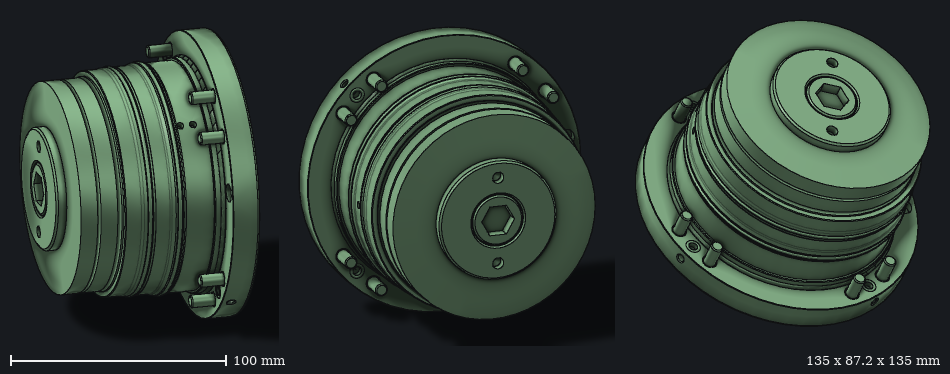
import cadquery as cq
import math


flange_radius = 67.5
flange_thickness = 13.0
flange_back_edge_length = 1.0
flange_back_edge_inset = 0.4
flange_front_chamfer = 0.3

seal_cord_radius = 1.6
seal_centre_radius = 54.4
seal_centre_depth = 13.2
collar_start = 15.1
collar_end = 18.1
collar_radius = 55.2
collar_edge = 0.4

barrel_radius = 53.9
rear_land_radius = 54.4
rear_land_start = 31.6
rear_land_end = 36.7
rear_land_edge_length = 0.8
rear_taper_end = 38.5
rear_taper_radius = 53.7
mid_land_radius = 53.5
mid_land_start = 39.4
mid_land_end = 51.8
front_barrel_radius = 53.0
front_barrel_start = 53.2
front_barrel_end = 60.9
front_barrel_chamfer = 0.4

rear_groove_depth = 34.4
front_groove_depth = 48.6
groove_floor_step = 0.7
groove_half_width = 1.4
cord_half_width = 1.0
cord_proud = 0.5
mid_land_relief_start = 46.2
mid_land_relief = 0.3

disc_radius = 50.0
shoulder_radius = 50.4
shoulder_end = 61.8
disc_thickness = 8.1
rear_disc_start = 63.7
front_disc_start = 73.5
gap_root_radius = 27.0
front_cone_height = 0.7
cap_radius = 28.9
overall_length = 87.2
cap_chamfer = 1.0

screw_bore_radius = 12.7
screw_bore_chamfer = 0.8
screw_head_radius = 12.3
screw_head_chamfer = 0.8
screw_gap_depth = 2.0
hex_across_flats = 14.0
hex_depth = 5.5

wrench_hole_radius = 2.7
wrench_hole_depth = 4.0
wrench_hole_offset = 20.9
drill_point_angle = 118.0

pitch_radius = 60.9
screw_radius = 3.0
screw_end_depth = 24.2
screw_end_chamfer = 0.5
screw_spread_angle = 10.0
screw_clearance_radius = 3.5
screw_clearance_depth = 0.5

port_angles = [135, 225, 315]
port_hole_radius = 2.0
port_hole_depth = 2.7
port_ring_radius = 2.8
port_cord_radius = 0.8
port_ring_proud = 0.4
radial_port_depth = 8.1
radial_port_radius = 1.8
radial_port_chamfer = 0.5
radial_port_length = 6.8

dowel_angle = 10.0
dowel_radius = 4.2
dowel_hole_depth = 4.0

cross_hole_radius = 1.6
cross_hole_length = 4.0
cross_holes = [(45, 23.8), (45, 30.0), (180, 43.9)]

cutter_overrun = 1.4


def on_pitch_circle(angle):
    """X and Z of a point on the flange pitch circle."""
    a = math.radians(angle)
    return pitch_radius * math.cos(a), pitch_radius * math.sin(a)


def axial_cylinder(x, z, radius, start, end):
    """Cylinder parallel to the axis between two depths."""
    return cq.Workplane(cq.Solid.makeCylinder(
        radius, end - start, cq.Vector(x, -start, z), cq.Vector(0, -1, 0)))


def radial_cylinder(angle, depth, radius, outer_radius, length, bevel=0.0):
    """Cutter pointing at the axis; its mouth at outer_radius is widened by the bevel."""
    a = math.radians(angle)
    outward = cq.Vector(math.cos(a), 0, math.sin(a))
    floor = outward * (outer_radius - length) + cq.Vector(0, -depth, 0)
    cutter = cq.Workplane(cq.Solid.makeCylinder(radius, length + cutter_overrun, floor, outward))
    if bevel > 0:
        mouth = floor + outward * (length - bevel)
        cone = cq.Solid.makeCone(radius, radius + 2 * bevel, 2 * bevel, mouth, outward)
        cutter = cutter.union(cq.Workplane(cone))
    return cutter


def groove_with_cord(sketch, depth, land_radius):
    """Add an O-ring groove, with the cord standing slightly proud, to the barrel outline."""
    floor_radius = land_radius - groove_floor_step
    return (
        sketch.lineTo(land_radius, -(depth - groove_half_width))
        .lineTo(floor_radius, -(depth - groove_half_width))
        .lineTo(floor_radius, -(depth - cord_half_width))
        .threePointArc((land_radius + cord_proud, -depth), (floor_radius, -(depth + cord_half_width)))
        .lineTo(floor_radius, -(depth + groove_half_width))
        .lineTo(land_radius, -(depth + groove_half_width))
    )


def disc_outline(sketch, previous_end, start):
    """Add the V-shaped gap behind a disc, then the disc rim, to the outline."""
    gap_root_depth = (previous_end + start) / 2
    return (
        sketch.lineTo(gap_root_radius, -gap_root_depth)
        .lineTo(disc_radius, -start)
        .lineTo(disc_radius, -(start + disc_thickness))
    )


def turned_body():
    """Flange, barrel, discs and nose cap revolved in one piece."""
    outline = (
        cq.Workplane("XY").moveTo(0, 0)
        .lineTo(flange_radius - flange_back_edge_inset, 0)
        .lineTo(flange_radius, -flange_back_edge_length)
        .lineTo(flange_radius, -(flange_thickness - flange_front_chamfer))
        .lineTo(flange_radius - flange_front_chamfer, -flange_thickness)
        .lineTo(barrel_radius, -flange_thickness)
        .lineTo(barrel_radius, -collar_start)
        .lineTo(collar_radius, -collar_start)
        .lineTo(collar_radius, -(collar_end - collar_edge))
        .lineTo(collar_radius - collar_edge, -collar_end)
        .lineTo(barrel_radius, -collar_end)
        .lineTo(barrel_radius, -rear_land_start)
        .lineTo(rear_land_radius, -(rear_land_start + rear_land_edge_length))
    )
    outline = groove_with_cord(outline, rear_groove_depth, rear_land_radius)
    outline = (
        outline.lineTo(rear_land_radius, -rear_land_end)
        .lineTo(rear_taper_radius, -rear_taper_end)
        .lineTo(mid_land_radius, -mid_land_start)
        .lineTo(mid_land_radius, -mid_land_relief_start)
        .lineTo(mid_land_radius - mid_land_relief, -mid_land_relief_start)
        .lineTo(mid_land_radius - mid_land_relief, -(front_groove_depth - groove_half_width))
    )
    outline = groove_with_cord(outline, front_groove_depth, mid_land_radius)
    outline = (
        outline.lineTo(mid_land_radius, -mid_land_end)
        .lineTo(front_barrel_radius, -front_barrel_start)
        .lineTo(front_barrel_radius, -(front_barrel_end - front_barrel_chamfer))
        .lineTo(front_barrel_radius - front_barrel_chamfer, -front_barrel_end)
        .lineTo(shoulder_radius, -front_barrel_end)
        .lineTo(shoulder_radius, -shoulder_end)
    )
    outline = disc_outline(outline, shoulder_end, rear_disc_start)
    outline = disc_outline(outline, rear_disc_start + disc_thickness, front_disc_start)
    outline = (
        outline.lineTo(cap_radius, -(front_disc_start + disc_thickness + front_cone_height))
        .lineTo(cap_radius, -(overall_length - cap_chamfer))
        .lineTo(cap_radius - cap_chamfer, -overall_length)
        .lineTo(0, -overall_length)
        .close()
    )
    return outline.revolve(360, (0, 0, 0), (0, 1, 0))


def ring_cord(centre, ring_radius, cord_radius):
    """O-ring cord as a torus around a line parallel to the axis."""
    torus = cq.Solid.makeTorus(ring_radius, cord_radius, cq.Vector(*centre), cq.Vector(0, -1, 0))
    return cq.Workplane(torus)


def centre_screw_gap():
    """Ring-shaped gap between the chamfered cap bore and the chamfered screw head."""
    floor = -(overall_length - screw_gap_depth)
    section = (
        cq.Workplane("XY").moveTo(screw_head_radius, floor)
        .lineTo(screw_bore_radius, floor)
        .lineTo(screw_bore_radius, -(overall_length - screw_bore_chamfer))
        .lineTo(screw_bore_radius + screw_bore_chamfer, -overall_length)
        .lineTo(screw_head_radius - screw_head_chamfer, -overall_length)
        .lineTo(screw_head_radius, -(overall_length - screw_head_chamfer))
        .close()
    )
    return section.revolve(360, (0, 0, 0), (0, 1, 0))


def hex_socket():
    """Hexagon socket with two corners along X."""
    across_corners = hex_across_flats / math.cos(math.pi / 6)
    return (
        cq.Workplane("XZ", origin=(0, -overall_length, 0))
        .polygon(6, across_corners)
        .extrude(-hex_depth)
    )


def wrench_hole(z):
    """Blind hole with a drill point."""
    floor = overall_length - wrench_hole_depth
    point_height = wrench_hole_radius / math.tan(math.radians(drill_point_angle / 2))
    point = cq.Solid.makeCone(
        wrench_hole_radius, 0, point_height, cq.Vector(0, -floor, z), cq.Vector(0, 1, 0))
    return axial_cylinder(0, z, wrench_hole_radius, floor, overall_length).union(cq.Workplane(point))


def flange_screw(x, z):
    """Screw end standing out of the flange, rooted below the floor of its recess."""
    root = flange_thickness - 2 * screw_clearance_depth
    screw = axial_cylinder(x, z, screw_radius, root, screw_end_depth)
    return screw.faces("<Y").chamfer(screw_end_chamfer)


part = turned_body()
part = part.union(ring_cord((0, -seal_centre_depth, 0), seal_centre_radius, seal_cord_radius))

part = part.cut(centre_screw_gap()).cut(hex_socket())
for side in (-1, 1):
    part = part.cut(wrench_hole(side * wrench_hole_offset))

recess_start = flange_thickness - screw_clearance_depth
for diagonal in (45, 135, 225, 315):
    for spread in (-screw_spread_angle, screw_spread_angle):
        x, z = on_pitch_circle(diagonal + spread)
        part = part.cut(axial_cylinder(x, z, screw_clearance_radius, recess_start, flange_thickness))
        part = part.union(flange_screw(x, z))

port_floor = flange_thickness - port_hole_depth
port_ring_depth = flange_thickness + port_ring_proud - port_cord_radius
for angle in port_angles:
    x, z = on_pitch_circle(angle)
    part = part.union(ring_cord((x, -port_ring_depth, z), port_ring_radius, port_cord_radius))
    part = part.cut(axial_cylinder(x, z, port_hole_radius, port_floor, flange_thickness))
    part = part.cut(radial_cylinder(
        angle, radial_port_depth, radial_port_radius, flange_radius, radial_port_length, radial_port_chamfer))

dowel_x, dowel_z = on_pitch_circle(dowel_angle)
dowel_floor = flange_thickness - dowel_hole_depth
part = part.cut(axial_cylinder(dowel_x, dowel_z, dowel_radius, dowel_floor, flange_thickness))

for angle, depth in cross_holes:
    part = part.cut(radial_cylinder(angle, depth, cross_hole_radius, barrel_radius, cross_hole_length))

result = part